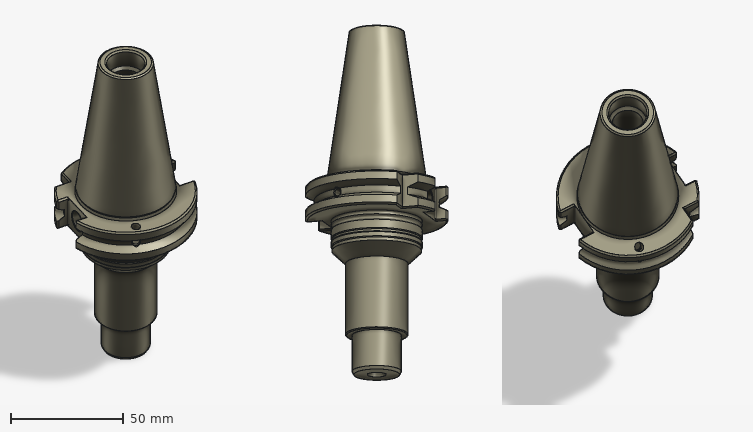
import cadquery as cq
import math


total_height = 157.8
gauge_diameter = 44.5
gauge_drop = 68.5
taper_drop = 69.4
taper_ratio = 7 / 24
taper_end_chamfer_width = 0.8
taper_end_chamfer_height = 0.5

relief_radius = 22.0
relief_drop = 70.4
relief_foot_radius = 22.7

flange_diameter = 63.5
flange_top = 86.3
flange_thickness = 15.8
flange_chamfer = 0.8
v_groove_floor_radius = 28.0
v_groove_floor_width = 3.3
v_groove_rim_width = 7.3

collar_radius = 20.3
collar_groove_radius = 20.0
round_groove_top = 68.8
round_groove_bottom = 66.3
round_groove_sag = 0.2
flat_groove_top = 62.5
flat_groove_bottom = 60.5
groove_bevel = 0.5
collar_land_bottom = 58.7
collar_bottom = 56.8

barrel_diameter = 28.0
barrel_top = 51.0
barrel_bottom = 18.0
barrel_chamfer = 0.5
nose_diameter = 22.0
nose_chamfer_width = 0.8
nose_chamfer_height = 1.4

through_diameter = 8.4
thread_diameter = 13.9
thread_depth = 31.5
mouth_diameter = 17.0
mouth_depth = 8.5
mouth_chamfer = 0.8
mouth_step_angle = 55.0
drill_half_angle = 59.0

slot_width = 16.0
slot_edge_chamfer = 0.8
slot_corner_radius = 0.5
front_slot_floor = 25.0
back_slot_floor = 22.7
notch_offset = 18.5
notch_edge_chamfer = 0.6
notch_rim_bevel = 0.3

slot_bore_diameter = 9.3
slot_bore_mouth_diameter = 10.0
slot_bore_depth = 7.3
slot_pilot_diameter = 6.0
slot_pilot_depth = 3.2

coolant_azimuth = 160.0
coolant_hole_diameter = 4.0
coolant_radius = 27.1
coolant_tilt = 35.0
coolant_hole_length = 12.6
port_diameter = 3.3
port_mouth_diameter = 4.3
port_depth = 4.7

flange_radius = flange_diameter / 2
flange_bottom = flange_top - flange_thickness
flange_mid = flange_top - flange_thickness / 2


def revolve_profile(points):
    """Solid of revolution about Z from (radius, height) points."""
    return cq.Workplane("XZ").polyline(points).close().revolve(360, (0, 0, 0), (0, 1, 0))


def taper_radius(drop):
    return gauge_diameter / 2 + (drop - gauge_drop) * taper_ratio / 2


def body():
    barrel_radius = barrel_diameter / 2
    nose_radius = nose_diameter / 2
    floor_half = v_groove_floor_width / 2
    rim_half = v_groove_rim_width / 2
    shank_and_flange = [
        (0, total_height),
        (taper_radius(0) - taper_end_chamfer_width, total_height),
        (taper_radius(taper_end_chamfer_height), total_height - taper_end_chamfer_height),
        (taper_radius(taper_drop), total_height - taper_drop),
        (relief_radius, total_height - relief_drop),
        (relief_foot_radius, flange_top),
        (flange_radius - flange_chamfer, flange_top),
        (flange_radius, flange_top - flange_chamfer),
        (flange_radius, flange_mid + rim_half),
        (v_groove_floor_radius, flange_mid + floor_half),
        (v_groove_floor_radius, flange_mid - floor_half),
        (flange_radius, flange_mid - rim_half),
        (flange_radius, flange_bottom + flange_chamfer),
        (flange_radius - flange_chamfer, flange_bottom),
        (collar_radius, flange_bottom),
    ]
    collar_barrel_and_nose = [
        (collar_radius, round_groove_bottom),
        (collar_radius, flat_groove_top),
        (collar_groove_radius, flat_groove_top - groove_bevel),
        (collar_groove_radius, flat_groove_bottom + groove_bevel),
        (collar_radius, flat_groove_bottom),
        (collar_radius, collar_land_bottom),
        (collar_groove_radius, collar_land_bottom - groove_bevel),
        (collar_groove_radius, collar_bottom),
        (barrel_radius, barrel_top),
        (barrel_radius, barrel_bottom + barrel_chamfer),
        (barrel_radius - barrel_chamfer, barrel_bottom),
        (nose_radius, barrel_bottom),
        (nose_radius, nose_chamfer_height),
        (nose_radius - nose_chamfer_width, 0),
        (0, 0),
    ]
    outline = (
        cq.Workplane("XZ")
        .polyline(shank_and_flange)
        .threePointArc(
            (collar_radius - round_groove_sag, (flange_bottom + round_groove_top) / 2),
            (collar_radius, round_groove_top))
        .lineTo(collar_groove_radius, round_groove_top - groove_bevel)
        .threePointArc(
            (collar_groove_radius - round_groove_sag, (round_groove_top + round_groove_bottom) / 2),
            (collar_groove_radius, round_groove_bottom + groove_bevel))
        .polyline(collar_barrel_and_nose, includeCurrent=True)
        .close()
    )
    return outline.revolve(360, (0, 0, 0), (0, 1, 0))


def axial_bore():
    through_radius = through_diameter / 2
    thread_radius = thread_diameter / 2
    mouth_radius = mouth_diameter / 2
    step_height = (mouth_radius - thread_radius) / math.tan(math.radians(mouth_step_angle))
    drill_cone_height = (thread_radius - through_radius) / math.tan(math.radians(drill_half_angle))
    return revolve_profile([
        (0, 0),
        (through_radius, 0),
        (through_radius, total_height - thread_depth - drill_cone_height),
        (thread_radius, total_height - thread_depth),
        (thread_radius, total_height - mouth_depth - step_height),
        (mouth_radius, total_height - mouth_depth),
        (mouth_radius, total_height - mouth_chamfer),
        (mouth_radius + mouth_chamfer, total_height),
        (0, total_height),
    ])


def drive_slot(floor_distance):
    """Slot cutter on the +Y side, flared where it meets the flange faces and rim."""
    chamfer = slot_edge_chamfer
    half = slot_width / 2
    wide = half + chamfer
    rim_y = math.sqrt(flange_radius**2 - wide**2)
    section = (
        cq.Workplane("XZ", origin=(0, floor_distance, 0))
        .polyline([
            (-wide, flange_top),
            (wide, flange_top),
            (half, flange_top - chamfer),
            (half, flange_bottom + chamfer),
            (wide, flange_bottom),
            (-wide, flange_bottom),
            (-half, flange_bottom + chamfer),
            (-half, flange_top - chamfer),
        ])
        .close()
        .extrude(floor_distance - flange_radius)
        .faces("<Y")
        .edges("|Z")
        .fillet(slot_corner_radius)
    )
    rim_flare = (
        cq.Workplane("XY", origin=(0, 0, flange_bottom))
        .polyline([
            (-half, rim_y - chamfer),
            (half, rim_y - chamfer),
            (wide, rim_y),
            (wide, flange_radius),
            (-wide, flange_radius),
            (-wide, rim_y),
        ])
        .close()
        .extrude(flange_thickness)
    )
    return section.union(rim_flare)


def orientation_notch():
    """Square corner cut on the -X -Y side, bevelled at the flange faces and rim."""
    wide = notch_offset - notch_edge_chamfer
    rim = math.sqrt(flange_radius**2 - wide**2)
    cutter = (
        cq.Workplane("XY", origin=(0, 0, flange_bottom))
        .polyline([
            (-notch_offset, -notch_offset),
            (-notch_offset, notch_rim_bevel - rim),
            (-wide, -rim),
            (-wide, -flange_radius),
            (-flange_radius, -flange_radius),
            (-flange_radius, -wide),
            (-rim, -wide),
            (notch_rim_bevel - rim, -notch_offset),
        ])
        .close()
        .extrude(flange_thickness)
    )
    corner = -(flange_radius + wide) / 2
    wide_side = flange_radius - wide
    for face, inward_sign in ((flange_top, -1), (flange_bottom, 1)):
        bevel = (
            cq.Workplane("XY", origin=(corner, corner, face))
            .rect(wide_side, wide_side)
            .extrude(inward_sign * notch_edge_chamfer, taper=45)
        )
        cutter = cutter.union(bevel)
    return cutter


def slot_bore():
    """Stepped blind hole along +Y from the floor of the front slot."""
    bore_radius = slot_bore_diameter / 2
    mouth_radius = slot_bore_mouth_diameter / 2
    pilot_radius = slot_pilot_diameter / 2
    pilot_end = slot_bore_depth + slot_pilot_depth
    tip = pilot_end + pilot_radius / math.tan(math.radians(drill_half_angle))
    hole = revolve_profile([
        (0, 0),
        (mouth_radius, 0),
        (bore_radius, mouth_radius - bore_radius),
        (bore_radius, slot_bore_depth),
        (pilot_radius, slot_bore_depth),
        (pilot_radius, pilot_end),
        (0, tip),
    ])
    return hole.rotate((0, 0, 0), (1, 0, 0), -90).translate((0, -front_slot_floor, flange_mid))


def coolant_holes():
    """Tilted hole from the flange face and radial port in the groove, laid out on the +X side."""
    tilt = math.radians(coolant_tilt)
    inward = cq.Vector(-math.sin(tilt), 0, -math.cos(tilt))
    mouth = cq.Vector(coolant_radius, 0, flange_top)
    start = mouth - inward * coolant_hole_diameter
    feed = cq.Solid.makeCylinder(
        coolant_hole_diameter / 2, coolant_hole_length + coolant_hole_diameter, start, inward)
    port_radius = port_diameter / 2
    mouth_radius = port_mouth_diameter / 2
    mouth_drop = mouth_radius - port_radius
    port = revolve_profile([
        (0, v_groove_floor_radius - port_depth),
        (port_radius, v_groove_floor_radius - port_depth),
        (port_radius, v_groove_floor_radius - mouth_drop),
        (mouth_radius, v_groove_floor_radius),
        (mouth_radius, flange_radius),
        (0, flange_radius),
    ])
    port = port.rotate((0, 0, 0), (0, 1, 0), 90).translate((0, 0, flange_mid))
    return port.union(cq.Workplane(feed))


result = body().cut(axial_bore())
result = result.cut(drive_slot(back_slot_floor))
result = result.cut(drive_slot(front_slot_floor).rotate((0, 0, 0), (0, 0, 1), 180))
result = result.cut(orientation_notch())
result = result.cut(slot_bore())
for azimuth in (coolant_azimuth, coolant_azimuth + 180):
    result = result.cut(coolant_holes().rotate((0, 0, 0), (0, 0, 1), azimuth))